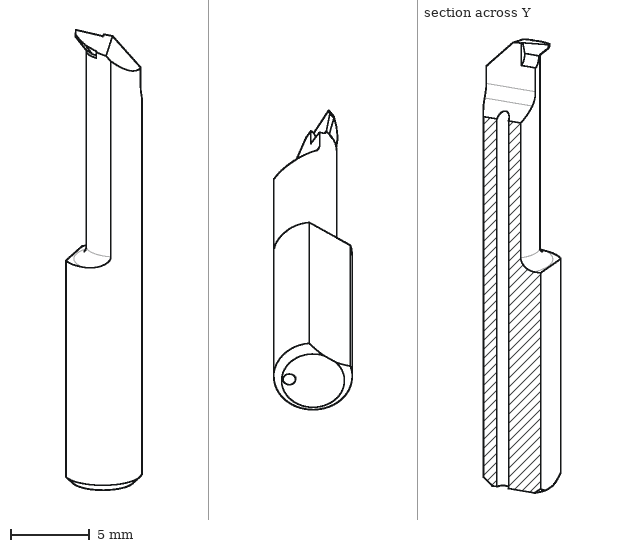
import cadquery as cq
import math

SHANK_RADIUS = 2.5
SHANK_LENGTH = 15.0
TOTAL_LENGTH = 30.0
FLAT_X = -1.95
END_CHAMFER = 0.5

NECK_RADIUS = 2.14
NECK_LEFT_X = -1.0
NECK_CENTRE_X = NECK_LEFT_X + NECK_RADIUS
NECK_FILLET = 0.8

RELIEF_FACE_Y = 0.15
RELIEF_CORNER_Z = 26.24
RELIEF_SLOPE_DEG = 48.0
RELIEF_FILLET = 1.3

COOLANT_DIAMETER = 0.8
COOLANT_X = 0.74
COOLANT_Y = 1.32

TIP_X = -1.87
TIP_LAND = 0.3
LEDGE_Z = 28.93
LEDGE_SLOPE_DEG = 45.0
HEAD_END_X = 0.22
CUTTING_OUTLINE = [(TIP_X, RELIEF_FACE_Y), (-1.68, -0.5), (-0.79, -1.44), (HEAD_END_X, -1.94)]
LEDGE_OUTLINE = [(NECK_LEFT_X, RELIEF_FACE_Y), (-0.9, -0.65), (-0.07, -1.58), (HEAD_END_X, -1.78)]

TOP_FALL_X = 0.095
TOP_FALL_Y = 0.237
BACK_POINT = (SHANK_RADIUS, RELIEF_FACE_Y, 27.9)
BACK_FALL_X = 1.0
BACK_FALL_Y = 0.09

GROOVE_RADIUS = 0.65
GROOVE_DEEPEST_Y = -0.38
GROOVE_DEEPEST_Z = 28.98
GROOVE_END_X = 0.02
TIP_Y = 0.0

MARGIN = 5.0


def make_shank():
    bar = cq.Workplane("XY").circle(SHANK_RADIUS).extrude(SHANK_LENGTH)
    bar = bar.faces("<Z").chamfer(END_CHAMFER)
    flat_cut = (
        cq.Workplane("XY")
        .box(MARGIN, 2 * MARGIN, SHANK_LENGTH, centered=(False, True, False))
        .translate((FLAT_X - MARGIN, 0, 0))
    )
    return bar.cut(flat_cut)


def make_neck():
    """Neck with its root fillet, trimmed to the shank cylinder."""
    foot_radius = NECK_RADIUS + NECK_FILLET
    arc_reach = NECK_FILLET * (1 - math.sqrt(0.5))
    turned = (
        cq.Workplane("XZ")
        .moveTo(0, SHANK_LENGTH)
        .lineTo(foot_radius, SHANK_LENGTH)
        .threePointArc(
            (NECK_RADIUS + arc_reach, SHANK_LENGTH + arc_reach),
            (NECK_RADIUS, SHANK_LENGTH + NECK_FILLET),
        )
        .lineTo(NECK_RADIUS, TOTAL_LENGTH)
        .lineTo(0, TOTAL_LENGTH)
        .close()
        .revolve(360, (0, 0, 0), (0, 1, 0))
        .translate((NECK_CENTRE_X, 0, 0))
    )
    envelope = cq.Workplane("XY").circle(SHANK_RADIUS).extrude(TOTAL_LENGTH)
    return turned.intersect(envelope)


def make_ledge_cut():
    """Space around the head: a coned ledge on the front left of the neck, open upwards."""
    slope_rise = NECK_RADIUS * math.tan(math.radians(LEDGE_SLOPE_DEG))
    above_ledge = (
        cq.Workplane("XZ")
        .polyline([
            (NECK_RADIUS, LEDGE_Z),
            (NECK_RADIUS + MARGIN, LEDGE_Z),
            (NECK_RADIUS + MARGIN, LEDGE_Z + slope_rise),
            (0, LEDGE_Z + slope_rise),
        ])
        .close()
        .revolve(360, (0, 0, 0), (0, 1, 0))
        .translate((NECK_CENTRE_X, 0, 0))
    )
    quarter = (
        cq.Workplane("XY", origin=(HEAD_END_X, RELIEF_FACE_Y, LEDGE_Z))
        .rect(-MARGIN, -MARGIN, centered=False)
        .extrude(MARGIN)
    )
    return above_ledge.intersect(quarter)


def make_head():
    """Cutting head: taper from the ledge to the cutting outline, then a straight land."""
    inner_edge = [(HEAD_END_X, RELIEF_FACE_Y)]
    land_z = TOTAL_LENGTH - TIP_LAND
    taper = (
        cq.Workplane("XY", origin=(0, 0, LEDGE_Z))
        .polyline(LEDGE_OUTLINE + inner_edge)
        .close()
        .workplane(offset=land_z - LEDGE_Z)
        .polyline(CUTTING_OUTLINE + inner_edge)
        .close()
        .loft(ruled=True)
    )
    land = (
        cq.Workplane("XY", origin=(0, 0, land_z))
        .polyline(CUTTING_OUTLINE + inner_edge)
        .close()
        .extrude(TIP_LAND)
    )
    return taper.union(land)


def make_relief_cut():
    """Everything beyond the relief face and above its sloping run-out."""
    slope_drop = MARGIN * math.tan(math.radians(RELIEF_SLOPE_DEG))
    top_z = TOTAL_LENGTH + MARGIN
    outer_y = RELIEF_FACE_Y + MARGIN
    cutter = (
        cq.Workplane("YZ", origin=(-MARGIN, 0, 0))
        .polyline([
            (RELIEF_FACE_Y, top_z),
            (RELIEF_FACE_Y, RELIEF_CORNER_Z),
            (outer_y, RELIEF_CORNER_Z - slope_drop),
            (outer_y, top_z),
        ])
        .close()
        .extrude(2 * MARGIN)
    )
    corner = cq.selectors.NearestToPointSelector((0, RELIEF_FACE_Y, RELIEF_CORNER_Z))
    return cutter.edges(corner).fillet(RELIEF_FILLET)


def make_space_above(point, fall_x, fall_y):
    """Block above a plane that falls towards +X and towards -Y."""
    plane = cq.Plane(origin=point, xDir=(1, 0, -fall_x), normal=(fall_x, -fall_y, 1))
    return cq.Workplane(plane).rect(4 * MARGIN, 4 * MARGIN).extrude(MARGIN)


def make_chip_groove():
    axis_y = GROOVE_DEEPEST_Y + GROOVE_RADIUS
    arc_offset = GROOVE_RADIUS * math.sqrt(0.5)
    rake_lean = (TIP_Y - GROOVE_DEEPEST_Y) / (TOTAL_LENGTH - GROOVE_DEEPEST_Z)
    top_z = TOTAL_LENGTH + GROOVE_RADIUS
    rake_top_y = TIP_Y + rake_lean * GROOVE_RADIUS
    return (
        cq.Workplane("YZ", origin=(GROOVE_END_X, 0, 0))
        .moveTo(axis_y, GROOVE_DEEPEST_Z - GROOVE_RADIUS)
        .threePointArc(
            (axis_y - arc_offset, GROOVE_DEEPEST_Z - arc_offset),
            (GROOVE_DEEPEST_Y, GROOVE_DEEPEST_Z),
        )
        .lineTo(rake_top_y, top_z)
        .lineTo(axis_y, top_z)
        .close()
        .extrude(-MARGIN)
    )


def make_coolant_hole():
    return (
        cq.Workplane("XY")
        .center(COOLANT_X, COOLANT_Y)
        .circle(COOLANT_DIAMETER / 2)
        .extrude(TOTAL_LENGTH)
    )


tip_point = (TIP_X, TIP_Y, TOTAL_LENGTH)

result = make_shank().union(make_neck())
result = result.cut(make_ledge_cut()).union(make_head())
result = result.cut(make_relief_cut())
result = result.cut(make_space_above(tip_point, TOP_FALL_X, TOP_FALL_Y))
result = result.cut(make_space_above(BACK_POINT, BACK_FALL_X, BACK_FALL_Y))
result = result.cut(make_chip_groove()).cut(make_coolant_hole())